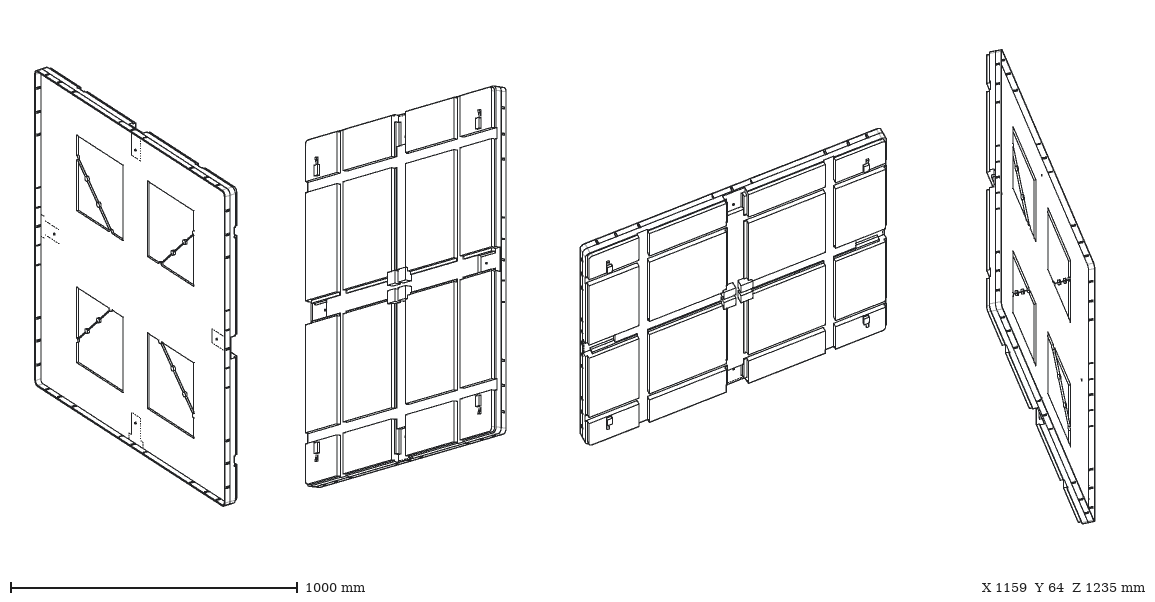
import cadquery as cq
import math

width = 1159.0
height = 1235.0
corner_radius = 19.0

seam_level = 21.0
floor_level = 22.0
notch_level = 26.0
groove_level = 40.0
step_level = 43.0
back_level = 55.0
top_level = 64.0

rim_wall = 5.0
seam_step = 0.2
slot_start = 6.0
slot_width = 6.0
narrow_slot_width = 2.0
slots_on_x = (0.0, 358.0, 447.0, 519.0)
slots_on_z = (0.0, 358.0, 447.0, 541.0)
narrow_slots_on_x = (74.0,)
narrow_slots_on_z = (74.0, 151.0)

back_inset_x = 9.0
back_inset_z = 5.0
back_radius = 15.0

fork_groove_width = 40.0
fork_groove_x = 358.0
fork_groove_z = 447.0
middle_groove_width = 64.0
middle_opening_width = 85.0

notch_length = 27.0
inner_notch_past_pin = 31.0
inner_notch_chamfer = 5.0

block_size = 46.0
block_gap = 20.0

latch_place = 494.0
latch_width = 20.0
latch_length = 38.0
hook_width = 10.0
hook_start = 519.0
hook_end = 541.0
hook_height = 6.0

window_inner_x = 74.0
window_outer_x = 356.0
window_inner_z = 150.0
window_outer_z = 445.0
window_depth = 7.0
rib_width = 1.0
rib_angle = 45
post_radius = 9.0
post_places = (151.0, 226.0, 298.0, 357.0)

pin_diameter = 6.0
pin_place_x = 494.0
pin_place_z = 534.0

quadrants = [(sx, sz) for sx in (-1, 1) for sz in (-1, 1)]


def box(x_size, z_size, y_from, y_to, x=0.0, z=0.0):
    """Box centred at (x, z) that spans y_from to y_to."""
    return cq.Workplane("XY").box(x_size, y_to - y_from, z_size).translate((x, (y_from + y_to) / 2, z))


def rounded_plate(x_size, z_size, y_from, y_to, radius):
    return box(x_size, z_size, y_from, y_to).edges("|Y").fillet(radius)


def cylinder(radius, y_from, y_to, x, z):
    solid = cq.Solid.makeCylinder(radius, y_to - y_from, cq.Vector(x, y_from, z), cq.Vector(0, 1, 0))
    return cq.Workplane(solid)


def both_signs(places):
    return sorted({sign * place for place in places for sign in (-1, 1)})


def tray():
    rim_width = width - 2 * seam_step
    rim_height = height - 2 * seam_step
    rim = rounded_plate(rim_width, rim_height, 0, seam_level, corner_radius)
    pocket = rounded_plate(
        rim_width - 2 * rim_wall, rim_height - 2 * rim_wall, 0, floor_level, corner_radius - rim_wall
    )
    body = rounded_plate(width, height, seam_level, step_level, corner_radius)
    back = rounded_plate(
        width - 2 * back_inset_x, height - 2 * back_inset_z, step_level, back_level, back_radius
    )
    return rim.union(body).union(back).cut(pocket)


def rim_slots():
    """Cutters through the rim wall on all four sides."""
    cutters = []
    rim_cut = rim_wall + seam_step
    for places_x, places_z, size in (
        (slots_on_x, slots_on_z, slot_width),
        (narrow_slots_on_x, narrow_slots_on_z, narrow_slot_width),
    ):
        for side in (-1, 1):
            for x in both_signs(places_x):
                z = side * (height - rim_cut) / 2
                cutters.append(box(size, rim_cut, slot_start, seam_level, x, z))
            for z in both_signs(places_z):
                x = side * (width - rim_cut) / 2
                cutters.append(box(rim_cut, size, slot_start, seam_level, x, z))
    return cutters


def back_grooves():
    cutters = []
    for side in (-1, 1):
        cutters.append(box(fork_groove_width, height, groove_level, back_level, x=side * fork_groove_x))
        cutters.append(box(width, fork_groove_width, groove_level, back_level, z=side * fork_groove_z))
    for size, level in ((middle_groove_width, groove_level), (middle_opening_width, step_level)):
        cutters.append(box(size, height, level, back_level))
        cutters.append(box(width, size, level, back_level))
    return cutters


def edge_notches():
    """Stepped notch in the middle of each edge, open to the back, with a pin hole through its floor."""
    cutters = []
    for angle, edge, pin_place in (
        (0, height / 2, pin_place_z),
        (90, width / 2, pin_place_x),
        (180, height / 2, pin_place_z),
        (270, width / 2, pin_place_x),
    ):
        outer = box(middle_opening_width, notch_length, notch_level, back_level, z=edge - notch_length / 2)
        inner_length = edge - pin_place + inner_notch_past_pin
        inner = box(middle_groove_width, inner_length, notch_level, back_level, z=edge - inner_length / 2)
        inner = inner.faces("<Y").edges("|Z").chamfer(inner_notch_chamfer)
        pin_hole = cylinder(pin_diameter / 2, floor_level, notch_level, 0, pin_place)
        notch = outer.union(inner).union(pin_hole)
        cutters.append(notch.rotate((0, 0, 0), (0, 1, 0), angle))
    return cutters


def centre_blocks():
    place = (block_gap + block_size) / 2
    block = box(block_size, block_size, groove_level, top_level)
    return [block.translate((sx * place, 0, sz * place)) for sx, sz in quadrants]


def latches():
    """Rectangular boss with a small ramped hook beyond it, in each quarter of the back."""
    hook_x = latch_place + (latch_width - hook_width) / 2
    boss = box(latch_width, latch_length, back_level, top_level)
    solids = []
    for sx, sz in quadrants:
        solids.append(boss.translate((sx * latch_place, 0, sz * latch_place)))
        hook = (
            cq.Workplane("YZ")
            .polyline(
                [
                    (back_level, sz * hook_start),
                    (back_level + hook_height, sz * hook_end),
                    (back_level, sz * hook_end),
                ]
            )
            .close()
            .extrude(hook_width / 2, both=True)
        )
        solids.append(hook.translate((sx * hook_x, 0, 0)))
    return solids


def windows():
    window_floor = floor_level + window_depth
    x_size = window_outer_x - window_inner_x
    z_size = window_outer_z - window_inner_z
    x_middle = (window_outer_x + window_inner_x) / 2
    z_middle = (window_outer_z + window_inner_z) / 2
    rib_length = math.hypot(width, height)
    cutters = []
    for sx, sz in quadrants:
        cutter = box(x_size, z_size, floor_level, window_floor, sx * x_middle, sz * z_middle)
        rib = box(rib_length, rib_width, floor_level, window_floor)
        cutter = cutter.cut(rib.rotate((0, 0, 0), (0, 1, 0), -rib_angle * sx * sz))
        for place in post_places:
            cutter = cutter.cut(cylinder(post_radius, floor_level, window_floor, sx * place, sz * place))
        cutters.append(cutter)
    return cutters


result = tray()
for cutter in rim_slots() + back_grooves() + edge_notches() + windows():
    result = result.cut(cutter)
for solid in centre_blocks() + latches():
    result = result.union(solid)